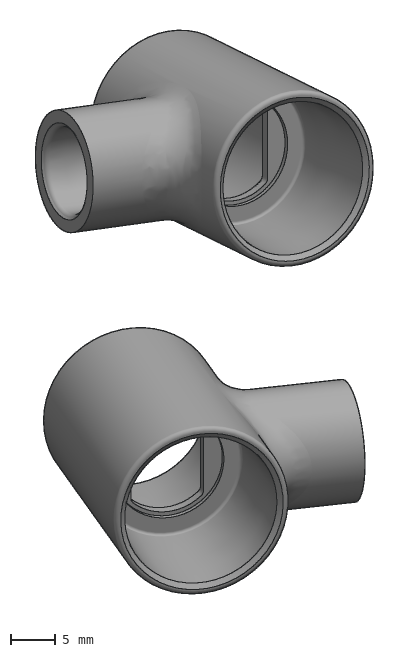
import cadquery as cq
import math

overall_y = 31.75
tube_length = 30.5
tube_radius = 10.25
rim_round = 0.5

branch_radius = 7.02
branch_reach = overall_y - tube_radius
blend_radius = 5.02

tube_socket_depth = 13.97
tube_mouth_radius = 9.55
tube_bore_radius = 8.95
tube_floor_bore_radius = 8.65
tube_lead_in_depth = 0.48
tube_floor_round = 0.35

branch_socket_depth = branch_reach - tube_radius
branch_mouth_radius = 5.55
branch_bore_radius = 5.02
branch_floor_bore_radius = 4.92
branch_chamfer = 0.22
branch_lead_in_depth = 0.8
branch_floor_round = 0.45

web_thickness = tube_length - 2 * tube_socket_depth
recess_radius = 6.48
recess_depth = 0.65
passage_radius = 6.0
passage_width = 8.5
passage_corner_round = 0.8


def make_body():
    """Tube and branch joined by a large blend, with rounded tube rims."""
    tube = cq.Workplane("YZ").circle(tube_radius).extrude(tube_length / 2, both=True)
    branch = cq.Workplane("XZ").circle(branch_radius).extrude(branch_reach)
    margin = 0.65
    side = branch_radius + margin
    joint_zone = cq.selectors.BoxSelector(
        (-side, -tube_radius - margin, -side),
        (side, 0, side),
        boundingbox=True,
    )
    body = tube.union(branch)
    body = body.edges(joint_zone).fillet(blend_radius)
    return body.faces("<X or >X").edges().fillet(rim_round)


def finish_socket(profile, bore_radius, depth, floor_round):
    """Close a socket profile down the bore to a round-cornered floor, and spin it about Z.

    The profile is in the XZ plane (radius, depth), with the mouth at Z = 0 and the
    floor at Z = -depth.
    """
    return (
        profile.lineTo(bore_radius, -depth)
        .lineTo(0, -depth)
        .close()
        .revolve(360, (0, 0), (0, 1))
        .faces("<Z")
        .edges()
        .fillet(floor_round)
    )


def make_tube_socket():
    """Drafted socket with a conical lead-in."""
    profile = (
        cq.Workplane("XZ")
        .lineTo(tube_mouth_radius, 0)
        .lineTo(tube_bore_radius, -tube_lead_in_depth)
    )
    return finish_socket(profile, tube_floor_bore_radius, tube_socket_depth, tube_floor_round)


def make_branch_socket():
    """Drafted socket with a small chamfer and a rounded throat that runs into the bore."""
    throat_start_radius = branch_mouth_radius - branch_chamfer
    throat_width = throat_start_radius - branch_bore_radius
    throat_length = branch_lead_in_depth - branch_chamfer
    throat_angle = 2 * math.atan(throat_width / throat_length)
    throat_radius = throat_length / math.sin(throat_angle)
    throat_middle = (
        branch_bore_radius + throat_radius * (1 - math.cos(throat_angle / 2)),
        -branch_lead_in_depth + throat_radius * math.sin(throat_angle / 2),
    )
    profile = (
        cq.Workplane("XZ")
        .lineTo(branch_mouth_radius, 0)
        .lineTo(throat_start_radius, -branch_chamfer)
        .threePointArc(throat_middle, (branch_bore_radius, -branch_lead_in_depth))
    )
    return finish_socket(profile, branch_floor_bore_radius, branch_socket_depth, branch_floor_round)


def make_passage():
    """Two-flat hole through the web with a shallow round recess at each end."""
    hole = cq.Workplane("YZ").circle(passage_radius).extrude(web_thickness / 2, both=True)
    flats = cq.Workplane("XY").box(web_thickness, passage_width, 2 * passage_radius)
    passage = hole.intersect(flats).edges("|X").fillet(passage_corner_round)
    recess_start = web_thickness / 2 - recess_depth
    for direction in (1, -1):
        recess = (
            cq.Workplane("YZ", origin=(direction * recess_start, 0, 0))
            .circle(recess_radius)
            .extrude(direction * recess_depth)
        )
        passage = passage.union(recess)
    return passage


body = make_body()

tube_socket = make_tube_socket()
for direction in (1, -1):
    socket = tube_socket.rotate((0, 0, 0), (0, 1, 0), direction * 90)
    body = body.cut(socket.translate((direction * tube_length / 2, 0, 0)))

branch_socket = make_branch_socket().rotate((0, 0, 0), (1, 0, 0), 90)
body = body.cut(branch_socket.translate((0, -branch_reach, 0)))

result = body.cut(make_passage())